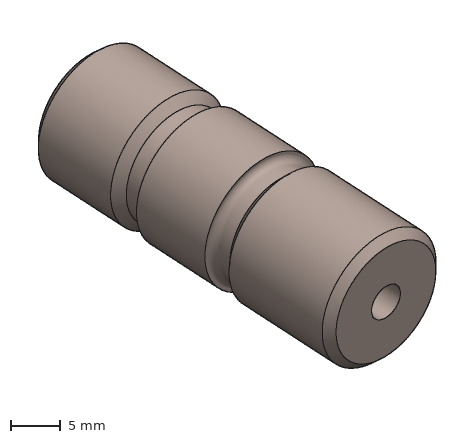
import cadquery as cq
import math

length = 43.0
outer_radius = 8.0
end_chamfer = 1.0

bore_radius = 2.0
mouth_radius = 6.0
mouth_half_angle = math.radians(30)
mouth_depth = (mouth_radius - bore_radius) / math.tan(mouth_half_angle)

floor_radius = 6.85
band_start = 15.2
band_end = 25.05
left_floor_start = 12.5
left_floor_end = 14.2
right_floor_start = 25.95
right_floor_end = 27.48
groove_chamfer = 1.08
fillet_rise = 0.75


def groove(band_face, floor_near, floor_far):
    """Ring with a filleted wall at the central band and a conical wall on the far side."""
    away = math.copysign(1, floor_far - band_face)
    fillet_run = abs(floor_near - band_face)
    arc_radius = (fillet_run**2 + fillet_rise**2) / (2 * fillet_rise)
    half_sweep = math.asin(fillet_run / arc_radius) / 2
    arc_middle = (
        floor_near - away * arc_radius * math.sin(half_sweep),
        floor_radius + arc_radius * (1 - math.cos(half_sweep)),
    )
    return (
        cq.Workplane("XY")
        .moveTo(band_face, outer_radius)
        .lineTo(band_face, floor_radius + fillet_rise)
        .threePointArc(arc_middle, (floor_near, floor_radius))
        .lineTo(floor_far, floor_radius)
        .lineTo(floor_far + away * groove_chamfer, outer_radius)
        .close()
        .revolve(360, (0, 0, 0), (1, 0, 0))
    )


body = cq.Workplane("YZ").circle(outer_radius).extrude(length)
body = body.faces("<X or >X").chamfer(end_chamfer)

bore = (
    cq.Workplane("XY")
    .polyline([
        (0, 0),
        (0, mouth_radius),
        (mouth_depth, bore_radius),
        (length, bore_radius),
        (length, 0),
    ])
    .close()
    .revolve(360, (0, 0, 0), (1, 0, 0))
)

result = (
    body.cut(bore)
    .cut(groove(band_start, left_floor_end, left_floor_start))
    .cut(groove(band_end, right_floor_start, right_floor_end))
)